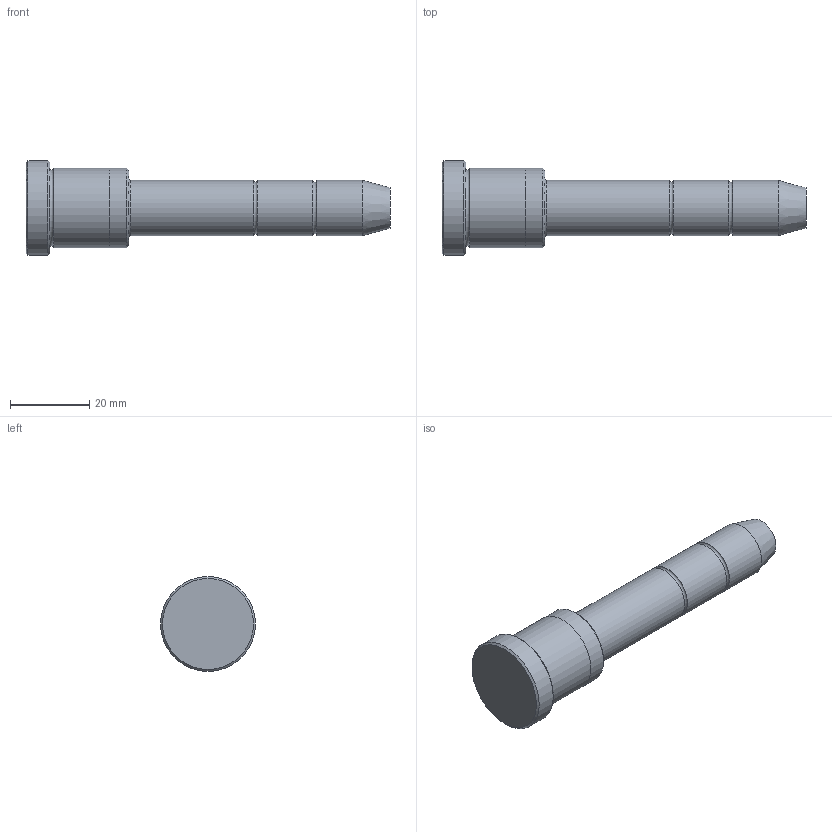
import cadquery as cq
import math

total_length = 92.0
head_length = 6.0
shoulder_end = 26.0
fit_length = 5.0
tip_length = 7.0
tip_angle = 15.0

head_radius = 24.0 / 2
shoulder_radius = 20.0 / 2
shaft_radius = 14.0 / 2
tip_radius = shaft_radius - tip_length * math.tan(math.radians(tip_angle))
full_turn = 360.0

edge_chamfer = 0.5
root_radius = 0.5
groove_radius = 0.5
groove_centers = (58.0, 73.0)


def stepped_body():
    """Head, shoulder, shaft and tapered tip revolved about X."""
    undercut_end = head_length + 2 * groove_radius
    fit_start = shoulder_end - fit_length
    profile = (
        cq.Workplane("XZ")
        .moveTo(0, 0)
        .lineTo(0, head_radius - edge_chamfer)
        .lineTo(edge_chamfer, head_radius)
        .lineTo(head_length - edge_chamfer, head_radius)
        .lineTo(head_length, head_radius - edge_chamfer)
        .lineTo(head_length, shoulder_radius)
        .threePointArc(
            (head_length + groove_radius, shoulder_radius - groove_radius),
            (undercut_end, shoulder_radius),
        )
        .lineTo(fit_start, shoulder_radius)
        .lineTo(shoulder_end - edge_chamfer, shoulder_radius)
        .lineTo(shoulder_end, shoulder_radius - edge_chamfer)
        .lineTo(shoulder_end, shaft_radius + root_radius)
        .radiusArc((shoulder_end + root_radius, shaft_radius), -root_radius)
        .lineTo(total_length - tip_length, shaft_radius)
        .lineTo(total_length, tip_radius)
        .lineTo(total_length, 0)
        .close()
    )
    return profile.revolve(full_turn, (0, 0, 0), (1, 0, 0), clean=False)


def groove_cutter(center):
    """Ring with a half-round section sunk into the shaft surface."""
    section = cq.Workplane("XZ").center(center, shaft_radius).circle(groove_radius)
    return section.revolve(full_turn, (0, -shaft_radius, 0), (1, -shaft_radius, 0))


result = stepped_body()
for groove_center in groove_centers:
    result = result.cut(groove_cutter(groove_center), clean=False)